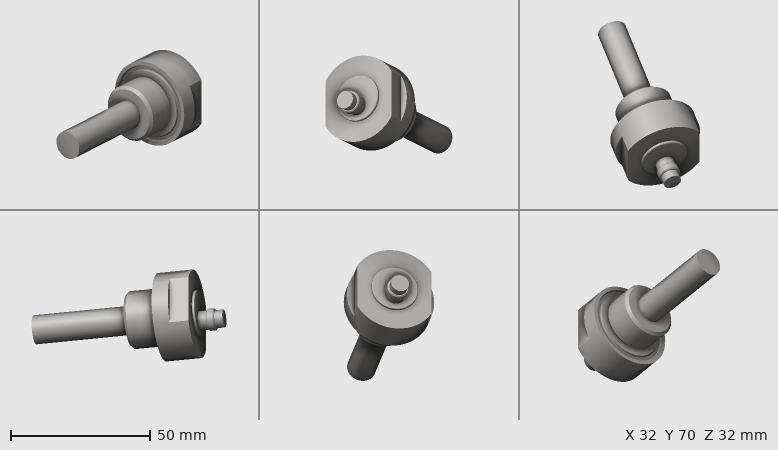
import cadquery as cq

OVERALL_LENGTH = 70.0

FLANGE_DIAMETER = 32.0
FLANGE_LENGTH = 13.0
FLAT_SPACING = 27.0
FLAT_LENGTH = 7.0

GROOVE_OUTER_DIAMETER = 29.0
GROOVE_INNER_DIAMETER = 25.0
GROOVE_DEPTH = 0.85
GROOVE_FILLET = 0.5

BODY_DIAMETER = 20.9
BODY_LENGTH = 12.0
BODY_CHAMFER = 1.05
SHANK_DIAMETER = 10.5

BOSS_DIAMETER = 17.0
BOSS_HEIGHT = 1.0
BOSS_CHAMFER = 0.2

CONNECTOR_DROP = 2.9
CONNECTOR_LENGTH = 9.0
STEM_DIAMETER = 7.0
STEM_LENGTH = 3.0
COLLAR_DIAMETER = 8.0
COLLAR_LENGTH = 3.0
COLLAR_CHAMFER = 0.4
TIP_DIAMETER = 6.5

BOSS_FACE = FLANGE_LENGTH + BOSS_HEIGHT
CONNECTOR_END = BOSS_FACE + CONNECTOR_LENGTH
SHANK_END = CONNECTOR_END - OVERALL_LENGTH


def cylinder(diameter, start, end, z=0.0):
    """Solid cylinder along Y between two stations."""
    plane = cq.Plane(origin=(0, start, z), xDir=(1, 0, 0), normal=(0, 1, 0))
    return cq.Workplane(plane).circle(diameter / 2).extrude(end - start)


def make_flange():
    flange = cylinder(FLANGE_DIAMETER, 0, FLANGE_LENGTH)
    flat_start = FLANGE_LENGTH - FLAT_LENGTH
    flats_envelope = cq.Workplane("XY").box(FLAT_SPACING, FLAT_LENGTH, FLANGE_DIAMETER)
    flats_envelope = flats_envelope.translate((0, flat_start + FLAT_LENGTH / 2, 0))
    waste = cylinder(FLANGE_DIAMETER, flat_start, FLANGE_LENGTH).cut(flats_envelope)
    return flange.cut(waste)


def make_groove():
    """Ring with straight walls and filleted bottom corners."""
    ring = cylinder(GROOVE_OUTER_DIAMETER, 0, GROOVE_DEPTH)
    ring = ring.cut(cylinder(GROOVE_INNER_DIAMETER, 0, GROOVE_DEPTH))
    return ring.faces(">Y").edges().fillet(GROOVE_FILLET)


def make_body():
    body = cylinder(BODY_DIAMETER, -BODY_LENGTH, 0).faces("<Y or >Y").chamfer(BODY_CHAMFER)
    return body.union(cylinder(SHANK_DIAMETER, SHANK_END, -BODY_LENGTH))


def make_connector():
    collar_start = BOSS_FACE + STEM_LENGTH
    collar_end = collar_start + COLLAR_LENGTH
    stem = cylinder(STEM_DIAMETER, BOSS_FACE, collar_start, -CONNECTOR_DROP)
    collar = cylinder(COLLAR_DIAMETER, collar_start, collar_end, -CONNECTOR_DROP)
    collar = collar.faces("<Y or >Y").chamfer(COLLAR_CHAMFER)
    tip = cylinder(TIP_DIAMETER, collar_end, CONNECTOR_END, -CONNECTOR_DROP)
    return stem.union(collar).union(tip)


boss = cylinder(BOSS_DIAMETER, FLANGE_LENGTH, BOSS_FACE).faces(">Y").chamfer(BOSS_CHAMFER)

result = make_flange().cut(make_groove()).union(make_body()).union(boss).union(make_connector())